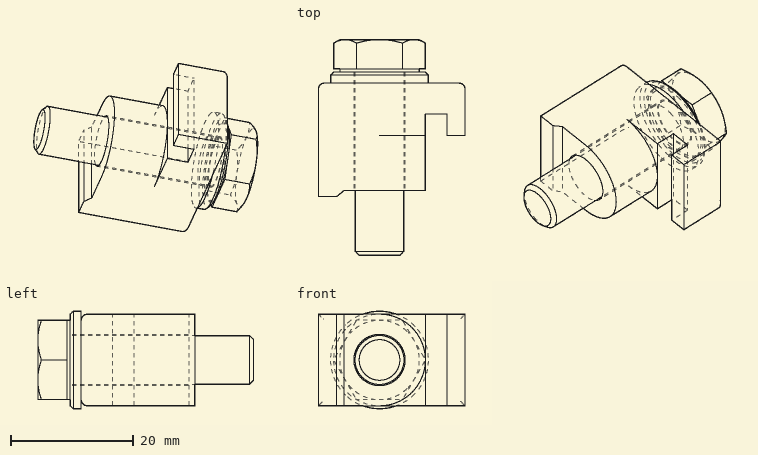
import cadquery as cq
import math


thread_diameter = 8.0
bolt_length = 30.0
tip_diameter = 6.65
head_across_flats = 13.0
head_height = 5.3
collar_diameter = 13.0
collar_height = 0.5
head_chamfer_angle = math.radians(30)

washer_diameter = 16.0
washer_thickness = 1.8
washer_chamfer = 0.5
clearance_diameter = 8.4

clamp_length = 24.0
clamp_width = 15.0
clamp_left = -10.0
clamp_height = 18.6
clamp_edge_radius = 1.0
foot_length = 3.0
foot_height = 1.0
foot_slope_length = 1.2
hook_height = 8.6
slot_width = 3.5
slot_depth = 3.5

clamp_right = clamp_left + clamp_length
nose_radius = clamp_width / 2
slot_left = nose_radius
slot_right = slot_left + slot_width
slot_top = slot_depth - hook_height
base_y = foot_height - clamp_height
foot_right = clamp_left + foot_length
head_seat = washer_thickness
head_top = head_seat + head_height
head_bottom = head_seat + collar_height
head_across_corners = head_across_flats / math.cos(math.pi / 6)


def along_y(start):
    """Plane at Y = start whose local axes are X and Z; positive extrusion goes toward +Y."""
    return cq.Workplane(cq.Plane(origin=(0, start, 0), xDir=(1, 0, 0), normal=(0, 1, 0)))


def cylinder(diameter, start, end):
    """Cylinder on the bolt axis from Y = start to Y = end."""
    return along_y(start).circle(diameter / 2).extrude(end - start)


def make_bolt():
    """Hexagon bolt with a chamfered head, a round collar under it and a chamfered tip."""
    head = along_y(head_bottom).polygon(6, head_across_corners).extrude(head_top - head_bottom)
    corner_inset = (head_across_corners - head_across_flats) / 2
    trim = cylinder(head_across_corners, head_bottom, head_top)
    trim = trim.faces(">Y").chamfer(corner_inset * math.tan(head_chamfer_angle), corner_inset)
    head = head.intersect(trim)

    collar = cylinder(collar_diameter, head_seat, head_bottom)
    shank = cylinder(thread_diameter, head_seat - bolt_length, head_seat)
    shank = shank.faces("<Y").chamfer((thread_diameter - tip_diameter) / 2)
    return head.union(collar).union(shank)


def make_washer():
    """Flat washer with a chamfered outer edge on the bolt head side."""
    washer = cylinder(washer_diameter, 0, washer_thickness).faces(">Y").chamfer(washer_chamfer)
    return washer.cut(cylinder(clearance_diameter, 0, washer_thickness))


def make_clamp():
    """Clamp block with a foot on the left, a rounded nose and a slotted hook on the right."""
    bridge_outline = [
        (clamp_left, 0),
        (clamp_left, -clamp_height),
        (foot_right, -clamp_height),
        (foot_right + foot_slope_length, base_y),
        (0, base_y),
        (0, -hook_height),
        (slot_left, -hook_height),
        (slot_left, slot_top),
        (slot_right, slot_top),
        (slot_right, -hook_height),
        (clamp_right, -hook_height),
        (clamp_right, 0),
    ]
    bridge = cq.Workplane("XY").polyline(bridge_outline).close().extrude(clamp_width / 2, both=True)
    bridge = bridge.faces(">Y").edges().fillet(clamp_edge_radius)

    nose = cylinder(2 * nose_radius, base_y, -hook_height)
    bolt_hole = cylinder(clearance_diameter, base_y, 0)
    return bridge.union(nose).cut(bolt_hole)


bolt = make_bolt()
washer = make_washer()
clamp = make_clamp()

result = cq.Compound.makeCompound([bolt.val(), washer.val(), clamp.val()])